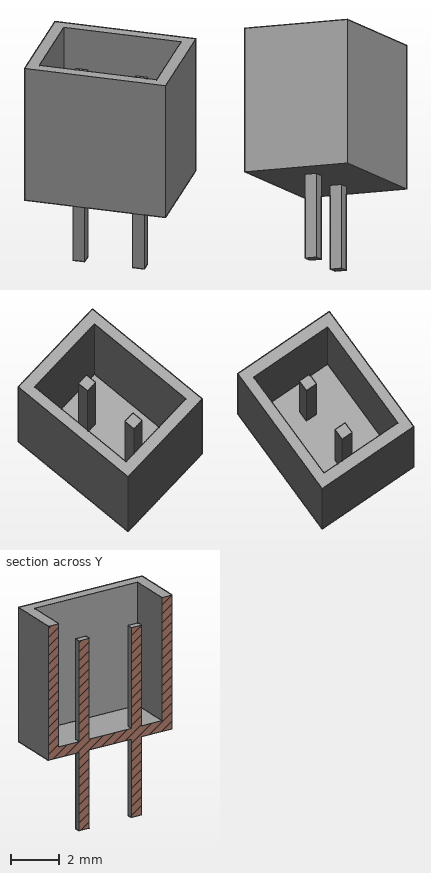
import cadquery as cq

housing_length = 6.0
housing_width = 4.6
housing_height = 6.0
cavity_length = 5.0
cavity_width = 3.705
floor_thickness = 0.5

pin_size = 0.5
pin_pitch = 2.54
pin_drop = 3.5
pin_recess = 1.0
pin_length = pin_drop + housing_height - pin_recess


def make_housing():
    """Box standing on Z = 0 with a rectangular cavity open at the top."""
    box = cq.Workplane("XY").box(
        housing_length, housing_width, housing_height, centered=(True, True, False)
    )
    cavity = (
        cq.Workplane("XY")
        .workplane(offset=floor_thickness)
        .rect(cavity_length, cavity_width)
        .extrude(housing_height - floor_thickness)
    )
    return box.cut(cavity)


def make_pin(x):
    """Square pin from below the housing to just short of its rim."""
    return (
        cq.Workplane("XY")
        .workplane(offset=-pin_drop)
        .center(x, 0)
        .rect(pin_size, pin_size)
        .extrude(pin_length)
    )


result = make_housing()
for side in (-1, 1):
    result = result.union(make_pin(side * pin_pitch / 2))